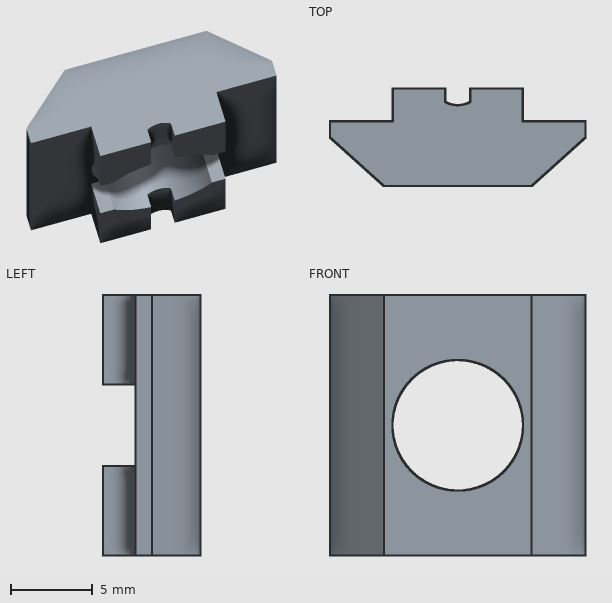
import cadquery as cq

length = 16
body_width = 15.7
face_width = 9.05
bevel_depth = 3.0
edge_depth = 1.0
boss_height = 2.0
boss_width = 8
hole_diameter = 8
notch_length = 5.0
groove_width = 1.5
groove_side_depth = 0.83
groove_depth = 1.02

shoulder_y = bevel_depth + edge_depth
top_y = shoulder_y + boss_height
half_length = length / 2


def extrude_along_z(profile):
    """Extrude an XY outline over the full length, centred on Z = 0."""
    return profile.extrude(length).translate((0, 0, -half_length))


def make_body():
    """T-shaped nut profile with bevelled sides and a narrower boss."""
    half_face = face_width / 2
    half_body = body_width / 2
    half_boss = boss_width / 2
    profile = (
        cq.Workplane("XY")
        .moveTo(-half_face, 0)
        .lineTo(half_face, 0)
        .lineTo(half_body, bevel_depth)
        .lineTo(half_body, shoulder_y)
        .lineTo(half_boss, shoulder_y)
        .lineTo(half_boss, top_y)
        .lineTo(-half_boss, top_y)
        .lineTo(-half_boss, shoulder_y)
        .lineTo(-half_body, shoulder_y)
        .lineTo(-half_body, bevel_depth)
        .close()
    )
    return extrude_along_z(profile)


def make_groove():
    """Lengthwise groove in the boss with a rounded floor."""
    half_groove = groove_width / 2
    profile = (
        cq.Workplane("XY")
        .moveTo(-half_groove, top_y)
        .lineTo(-half_groove, top_y - groove_side_depth)
        .threePointArc((0, top_y - groove_depth), (half_groove, top_y - groove_side_depth))
        .lineTo(half_groove, top_y)
        .close()
    )
    return extrude_along_z(profile)


def make_notch():
    """Gap across the boss that splits it into two blocks."""
    return cq.Workplane("XY").box(boss_width, boss_height, notch_length).translate(
        (0, shoulder_y + boss_height / 2, 0)
    )


def make_hole():
    """Round hole through the bevelled body and the boss, along Y."""
    return cq.Workplane("XZ").circle(hole_diameter / 2).extrude(-top_y)


result = make_body().cut(make_groove()).cut(make_notch()).cut(make_hole())